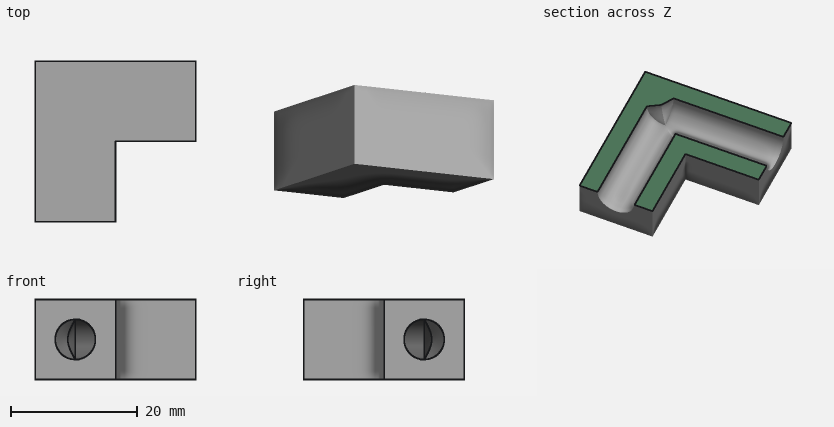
import cadquery as cq
import math

leg_width = 12.7
leg_length = 2 * leg_width
hole_diameter = 6.35
drill_point_angle = 118.0

hole_radius = hole_diameter / 2
point_depth = hole_radius / math.tan(math.radians(drill_point_angle / 2))

axis_offset = leg_width / 2
corner_x = axis_offset
corner_y = leg_length - axis_offset
hole_depth = leg_length - axis_offset


def elbow_block():
    """L-shaped block with one leg along +X and the other along -Y."""
    outline = [
        (0, 0),
        (leg_width, 0),
        (leg_width, leg_length - leg_width),
        (leg_length, leg_length - leg_width),
        (leg_length, leg_length),
        (0, leg_length),
    ]
    return cq.Workplane("XY").polyline(outline).close().extrude(leg_width)


def drilled_hole():
    """Blind hole with a conical bottom, entering at the origin and running along +Y."""
    half_profile = [
        (0, 0),
        (hole_radius, 0),
        (hole_radius, hole_depth),
        (0, hole_depth + point_depth),
    ]
    return cq.Workplane("XY").polyline(half_profile).close().revolve(360, (0, 0), (0, 1))


hole_along_y = drilled_hole().translate((corner_x, 0, axis_offset))
hole_along_x = (
    drilled_hole()
    .rotate((0, 0, 0), (0, 0, 1), 90)
    .translate((leg_length, corner_y, axis_offset))
)

result = elbow_block().cut(hole_along_y).cut(hole_along_x)